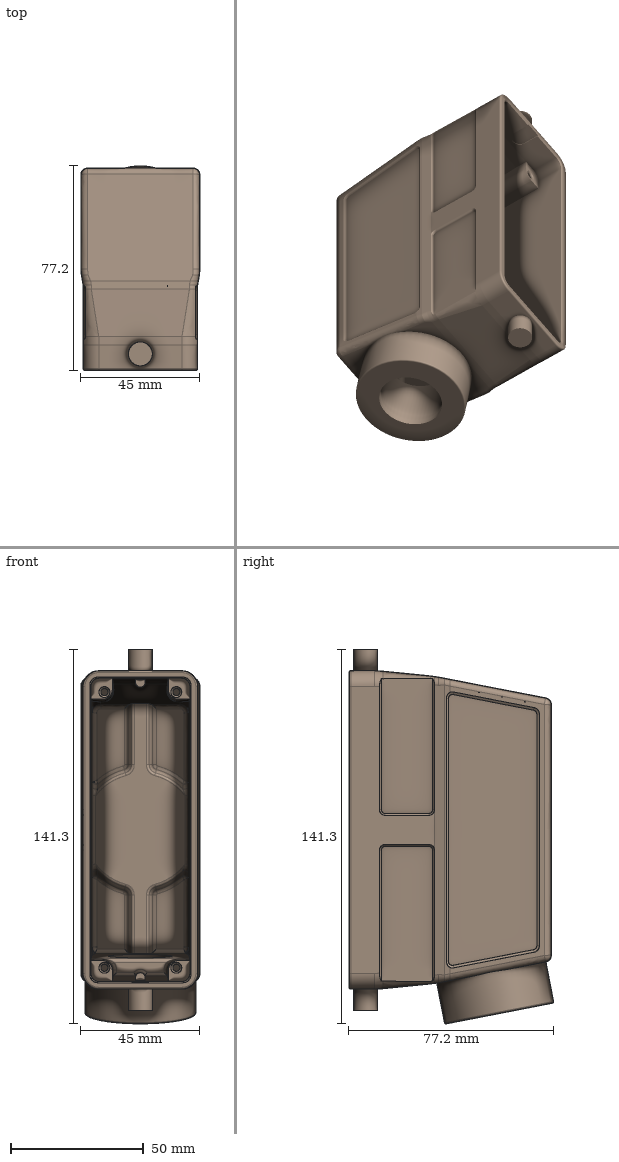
import cadquery as cq
import math


HALF_WIDTH_FRONT = 21.6
HALF_WIDTH_BACK = 22.5
HALF_HEIGHT = 60.0
END_BEND_Y = 11.2
ROOF_BEND_Y = 32.2
SHOULDER_Y = 37.0
BACK_Y = 76.3
SHALLOW_SLOPE = 0.1
ROOF_ANGLE = 11.0
ROOF_SLOPE = math.tan(math.radians(ROOF_ANGLE))
CORNER_FRONT = 6.0
CORNER_MIDDLE = 3.1
CORNER_BACK = 2.5
BACK_ROUND = 2.7
BEND_REACH = 1.5
SHOULDER_REACH = 1.1
RIM_ROUND = 0.7

WALL = 2.8
CAVITY_HALF_WIDTH_FRONT = 18.7
CAVITY_HALF_WIDTH_BACK = 18.1
CAVITY_CORNER = 3.1
CAVITY_BACK_ROUND = 1.7
CAVITY_BEND_START_Y = 10.9
CAVITY_BEND_END_Y = 15.4
CAVITY_BACK_Y = BACK_Y - WALL
MOUTH_CHAMFER = 0.4

PAD_HEIGHT = 3.1
PAD_DISC_RADIUS = 21.9
PAD_RIB_HALF_WIDTH = 3.0
PAD_NECK_ROUND = 3.5
PAD_DRAFT = 35.0
PAD_EDGE_ROUND = 1.3

PILLAR_FRONT_Y = 10.9
PILLAR_X = 10.6
PILLAR_Z = 49.3
PILLAR_ROUND = 3.5
PILLAR_DRAFT = 1.0
SCREW_X = 13.5
SCREW_Z = 52.0
SCREW_HOLE_DIAMETER = 2.7
SCREW_COUNTERSINK = 0.7
SCREW_HOLE_DEPTH = 14.1

KEY_FRONT_Y = 18.0
KEY_RADIUS = 1.8
KEY_Z = 55.7

FLOOR_FRONT_Y = 33.9
FLOOR_FRONT_Z = -48.6
FLOOR_BACK_Z = -46.5
FLOOR_EDGE_ROUND = 1.4
FLOOR_FOOT_ROUND = 1.3

NECK_DIAMETER = 42.0
NECK_END_Y = 56.7
NECK_END_Z = -69.3
NECK_LENGTH = 18.4
NECK_EDGE_ROUND = 0.5
BORE_DIAMETER = 24.0
BORE_LENGTH = 35.3

GRIP_FRONT_Y = 11.5
GRIP_GAP = 11.0
GRIP_DEPTH = 0.8
GRIP_DRAFT = 40.0
GRIP_CORNER = 2.1
LABEL_FRONT_Y = 36.5
LABEL_BACK_Y = 71.8
LABEL_MARGIN = 4.5
LABEL_DEPTH = 0.5
LABEL_DRAFT = 60.0
LABEL_CORNER = 2.5

PIN_DIAMETER = 9.0
PIN_Y = 6.2
PIN_TIP_Z = 68.1
PIN_SEAT_DEPTH = 1.4
PIN_SEAT_Z = HALF_HEIGHT - PIN_SEAT_DEPTH

SLOT_HALF_WIDTH = 3.1
SLOT_LENGTH = 9.5
SLOT_DEPTH = 0.3

SIDES = (-1, 1)
CORNERS = [(side, end) for side in SIDES for end in SIDES]


def roof_z(y):
    """Height of the housing's upper outline at depth y."""
    if y <= END_BEND_Y:
        return HALF_HEIGHT
    if y <= ROOF_BEND_Y:
        return HALF_HEIGHT - SHALLOW_SLOPE * (y - END_BEND_Y)
    return roof_z(ROOF_BEND_Y) - ROOF_SLOPE * (y - ROOF_BEND_Y)


def rounded_loft(sections):
    """Straight-sided loft through rounded rectangles given as (y, half width, half height, radius)."""
    sketches = [
        cq.Sketch().rect(2 * half_width, 2 * half_height).vertices().fillet(radius)
        .moved(cq.Location(cq.Vector(0, 0, -y)))
        for y, half_width, half_height, radius in sections
    ]
    return cq.Workplane("XZ").placeSketch(*sketches).loft(ruled=True)


def make_shell_block():
    """Outer shape of the housing without neck and recesses."""
    straight_end = END_BEND_Y - BEND_REACH
    slope_start = END_BEND_Y + BEND_REACH
    slope_end = ROOF_BEND_Y - BEND_REACH
    roof_start = ROOF_BEND_Y + BEND_REACH
    bend_height = (roof_z(slope_end) + roof_z(roof_start)) / 2
    widening = (HALF_WIDTH_BACK - HALF_WIDTH_FRONT) / (SHOULDER_Y - ROOF_BEND_Y)
    widening_end = SHOULDER_Y - SHOULDER_REACH
    shoulder_half_width = HALF_WIDTH_BACK - widening * SHOULDER_REACH
    back_start = SHOULDER_Y + SHOULDER_REACH
    block = rounded_loft([
        (0, HALF_WIDTH_FRONT, HALF_HEIGHT, CORNER_FRONT),
        (straight_end, HALF_WIDTH_FRONT, HALF_HEIGHT, CORNER_FRONT),
        (slope_start, HALF_WIDTH_FRONT, roof_z(slope_start), CORNER_FRONT),
        (slope_end, HALF_WIDTH_FRONT, roof_z(slope_end), CORNER_MIDDLE),
        (ROOF_BEND_Y, HALF_WIDTH_FRONT, bend_height, CORNER_MIDDLE),
        (roof_start, HALF_WIDTH_FRONT + widening * BEND_REACH, roof_z(roof_start), CORNER_MIDDLE),
        (widening_end, shoulder_half_width, roof_z(widening_end), CORNER_BACK),
        (back_start, HALF_WIDTH_BACK, roof_z(back_start), CORNER_BACK),
        (BACK_Y, HALF_WIDTH_BACK, roof_z(BACK_Y), CORNER_BACK),
    ])
    return block.faces(">Y").edges().fillet(BACK_ROUND).faces("<Y").edges().fillet(RIM_ROUND)


def neck_plane():
    """Plane on the neck's open end, its normal pointing along the neck into the housing."""
    angle = math.radians(ROOF_ANGLE)
    return cq.Plane(
        origin=(0, NECK_END_Y, NECK_END_Z),
        xDir=(1, 0, 0),
        normal=(0, -math.sin(angle), math.cos(angle)),
    )


def make_neck():
    neck = cq.Workplane(neck_plane()).circle(NECK_DIAMETER / 2).extrude(NECK_LENGTH)
    return neck.faces("<Z").edges().fillet(NECK_EDGE_ROUND)


def make_bore():
    return cq.Workplane(neck_plane()).circle(BORE_DIAMETER / 2).extrude(BORE_LENGTH)


def make_grip_recesses():
    """Two recesses on each side, running out through the rounded corners of the housing."""
    length = HALF_HEIGHT
    width = ROOF_BEND_Y - GRIP_FRONT_Y
    recesses = cq.Workplane()
    for side, end in CORNERS:
        plane = cq.Plane(
            origin=(side * HALF_WIDTH_FRONT, GRIP_FRONT_Y + width / 2, end * (GRIP_GAP + length) / 2),
            xDir=(0, 1, 0),
            normal=(-side, 0, 0),
        )
        outline = cq.Sketch().rect(width, length).vertices().fillet(GRIP_CORNER)
        recesses.add(cq.Workplane(plane).placeSketch(outline).extrude(GRIP_DEPTH, taper=GRIP_DRAFT))
    return recesses


def make_label_recesses():
    """One shallow panel on each side of the back part, its ends parallel to the roof."""
    front_z = roof_z(LABEL_FRONT_Y) - LABEL_MARGIN
    back_z = roof_z(LABEL_BACK_Y) - LABEL_MARGIN
    outline = [
        (LABEL_FRONT_Y, -front_z),
        (LABEL_BACK_Y, -back_z),
        (LABEL_BACK_Y, back_z),
        (LABEL_FRONT_Y, front_z),
    ]
    recesses = cq.Workplane()
    for side in SIDES:
        plane = cq.Plane(
            origin=(side * HALF_WIDTH_BACK, 0, 0), xDir=(0, 1, 0), normal=(-side, 0, 0)
        )
        panel = cq.Sketch().polygon(outline + outline[:1]).vertices().fillet(LABEL_CORNER)
        recesses.add(cq.Workplane(plane).placeSketch(panel).extrude(LABEL_DEPTH, taper=LABEL_DRAFT))
    return recesses


def make_cavity_block():
    """Inner space of the shell with the back pad and the thick floor, without pillars and bosses."""
    straight_height = HALF_HEIGHT - WALL
    bend_drop = SHALLOW_SLOPE * (CAVITY_BEND_END_Y - CAVITY_BEND_START_Y) / 2
    back_height = roof_z(CAVITY_BACK_Y) - WALL / math.cos(math.radians(ROOF_ANGLE))
    block = rounded_loft([
        (0, CAVITY_HALF_WIDTH_FRONT, straight_height, CAVITY_CORNER),
        (CAVITY_BEND_START_Y, CAVITY_HALF_WIDTH_FRONT, straight_height, CAVITY_CORNER),
        (CAVITY_BEND_END_Y, CAVITY_HALF_WIDTH_FRONT, straight_height - bend_drop, CAVITY_CORNER),
        (ROOF_BEND_Y, CAVITY_HALF_WIDTH_FRONT, roof_z(ROOF_BEND_Y) - WALL, CAVITY_CORNER),
        (CAVITY_BACK_Y, CAVITY_HALF_WIDTH_BACK, back_height, CAVITY_CORNER),
    ])
    block = block.cut(make_back_pad()).cut(make_thick_floor())
    block = block.faces(">Y").edges().fillet(CAVITY_BACK_ROUND)
    pad_face = cq.selectors.NearestToPointSelector((0, CAVITY_BACK_Y - PAD_HEIGHT, 0))
    return block.faces(pad_face).edges(">X or <X").fillet(PAD_EDGE_ROUND)


def make_mouth():
    """Small chamfer around the mating opening."""
    mouth = rounded_loft([
        (0, CAVITY_HALF_WIDTH_FRONT + MOUTH_CHAMFER, HALF_HEIGHT - WALL + MOUTH_CHAMFER, CAVITY_CORNER),
        (MOUTH_CHAMFER, CAVITY_HALF_WIDTH_FRONT, HALF_HEIGHT - WALL, CAVITY_CORNER),
    ])
    return mouth


def make_back_pad():
    """Raised disc with a rib to the top and the bottom on the back wall."""
    outline = (
        cq.Sketch()
        .circle(PAD_DISC_RADIUS)
        .rect(2 * PAD_RIB_HALF_WIDTH, 2 * HALF_HEIGHT)
        .clean()
        .reset()
        .vertices("(not >Y) and (not <Y)")
        .fillet(PAD_NECK_ROUND)
    )
    pad = cq.Workplane("XZ", origin=(0, CAVITY_BACK_Y - PAD_HEIGHT, 0)).placeSketch(outline)
    pad = pad.extrude(-PAD_HEIGHT, taper=-PAD_DRAFT)
    return pad.faces("<Y").edges("not (>Z or <Z)").fillet(PAD_EDGE_ROUND)


def make_pillar(side, end):
    """Screw pillar in one corner, widening slightly towards the back wall."""
    width = HALF_WIDTH_BACK + PILLAR_ROUND - PILLAR_X
    height = HALF_HEIGHT + PILLAR_ROUND - PILLAR_Z
    center = (side * (PILLAR_X + width / 2), PILLAR_FRONT_Y, end * (PILLAR_Z + height / 2))
    outline = cq.Sketch().rect(width, height).vertices().fillet(PILLAR_ROUND)
    depth = CAVITY_BACK_Y - PILLAR_FRONT_Y
    return cq.Workplane("XZ", origin=center).placeSketch(outline).extrude(-depth, taper=-PILLAR_DRAFT)


def make_screw_hole(side, end):
    """Countersunk blind hole in the front face of a pillar."""
    hole = cq.Workplane("XZ", origin=(side * SCREW_X, PILLAR_FRONT_Y, end * SCREW_Z))
    mouth = cq.Solid.makeCone(
        SCREW_HOLE_DIAMETER / 2 + SCREW_COUNTERSINK,
        SCREW_HOLE_DIAMETER / 2,
        SCREW_COUNTERSINK,
        cq.Vector(side * SCREW_X, PILLAR_FRONT_Y, end * SCREW_Z),
        cq.Vector(0, 1, 0),
    )
    return hole.circle(SCREW_HOLE_DIAMETER / 2).extrude(-SCREW_HOLE_DEPTH).union(cq.Workplane(mouth))


def make_key_boss(end):
    """Half-round boss that runs back along an end wall of the cavity."""
    depth = CAVITY_BACK_Y - KEY_FRONT_Y
    start = cq.Workplane("XZ", origin=(0, KEY_FRONT_Y, end * KEY_Z))
    boss = start.circle(KEY_RADIUS).extrude(-depth)
    foot = start.center(0, end * KEY_RADIUS).rect(2 * KEY_RADIUS, 2 * KEY_RADIUS).extrude(-depth)
    return boss.union(foot)


def make_thick_floor():
    """Thickened bottom around the bore, its top nearly level."""
    floor = (
        cq.Workplane("YZ", origin=(-HALF_WIDTH_BACK, 0, 0))
        .moveTo(FLOOR_FRONT_Y, -HALF_HEIGHT)
        .lineTo(FLOOR_FRONT_Y, FLOOR_FRONT_Z)
        .lineTo(CAVITY_BACK_Y, FLOOR_BACK_Z)
        .lineTo(CAVITY_BACK_Y, -HALF_HEIGHT)
        .close()
        .extrude(2 * HALF_WIDTH_BACK)
    )
    return floor.faces("<Y").edges(">Z").fillet(FLOOR_EDGE_ROUND)


def round_floor_foot(cavity):
    """Round the inner edges around the front face of the thick floor."""
    face = cq.selectors.NearestToPointSelector((0, FLOOR_FRONT_Y, FLOOR_FRONT_Z - 2 * FLOOR_EDGE_ROUND))
    return cavity.faces(face).edges("not >Z").fillet(FLOOR_FOOT_ROUND)


def make_slot(end):
    """Shallow round-ended slot in an end wall, open to the mating opening."""
    height = WALL / 2 + SLOT_DEPTH
    straight = SLOT_LENGTH - SLOT_HALF_WIDTH
    slot = (
        cq.Workplane("XY")
        .moveTo(-SLOT_HALF_WIDTH, 0)
        .lineTo(-SLOT_HALF_WIDTH, straight)
        .threePointArc((0, SLOT_LENGTH), (SLOT_HALF_WIDTH, straight))
        .lineTo(SLOT_HALF_WIDTH, 0)
        .close()
        .extrude(height)
    )
    inner_z = HALF_HEIGHT - WALL + SLOT_DEPTH
    return slot.translate((0, 0, inner_z - height if end > 0 else -inner_z))


def make_pin(end, base_z):
    """Locking pin on one end, from base_z out to its tip."""
    pin = cq.Workplane("XY", origin=(0, PIN_Y, end * base_z)).circle(PIN_DIAMETER / 2)
    return pin.extrude(end * (PIN_TIP_Z - base_z))


def make_housing():
    cavity = make_cavity_block()
    for side, end in CORNERS:
        cavity = cavity.cut(make_pillar(side, end))
    for end in SIDES:
        cavity = cavity.cut(make_key_boss(end))
    cavity = round_floor_foot(cavity)

    housing = make_shell_block().union(make_neck())
    for recess in make_grip_recesses().vals() + make_label_recesses().vals():
        housing = housing.cut(cq.Workplane(recess))
    housing = housing.cut(cavity).cut(make_mouth()).cut(make_bore())
    for side, end in CORNERS:
        housing = housing.cut(make_screw_hole(side, end))
    for end in SIDES:
        housing = housing.cut(make_slot(end)).cut(make_pin(end, PIN_SEAT_Z))
    return housing


housing = make_housing()
pins = [make_pin(end, PIN_SEAT_Z) for end in SIDES]

result = cq.Compound.makeCompound([housing.val(), *[pin.val() for pin in pins]])